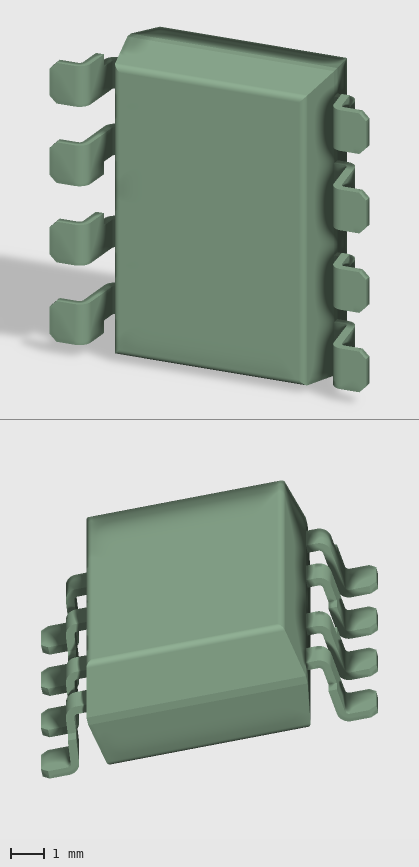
import cadquery as cq
import math


overall_width = 10.1
overall_height = 3.6
body_length = 9.76
body_width = 6.61

lead_thickness = 0.25
lead_width = 1.3
neck_width = 0.9
shoulder_height = 1.13
foot_flat = 0.8
foot_chamfer = 0.21
bend_inner_radius = 0.12
leg_angle = 6.0
lead_pitch = 2.55
leads_per_row = 4

standoff = 0.1
band_top = 1.98
band_height = lead_thickness
upper_draft = 12.0
lower_draft = 9.0
edge_radius = 0.2

band_bottom = band_top - band_height
bend_outer_radius = bend_inner_radius + lead_thickness
tip_x = -overall_width / 2
body_side_x = -body_width / 2


def body_rectangle(y):
    """Full body outline in the plane at height y, with the plane normal along +Y."""
    plane = cq.Plane(origin=(0, y, 0), xDir=(1, 0, 0), normal=(0, 1, 0))
    return cq.Workplane(plane).rect(body_width, body_length)


def make_body():
    """Straight middle band with a tapered block on each side, end faces rounded."""
    band = body_rectangle(band_bottom).extrude(band_height)
    upper = body_rectangle(band_top).extrude(overall_height - band_top, taper=upper_draft)
    lower = body_rectangle(band_bottom).extrude(standoff - band_bottom, taper=lower_draft)
    upper = upper.faces(">Y").edges().fillet(edge_radius)
    lower = lower.faces("<Y").edges().fillet(edge_radius)
    return band.union(upper).union(lower)


def arc_point(center, radius, degrees):
    """Point on a circle, in the XY plane."""
    angle = math.radians(degrees)
    return (center[0] + radius * math.cos(angle), center[1] + radius * math.sin(angle))


def lead_strip():
    """Gull-wing strip of the -X row at full lead width, centred on Z = 0."""
    lean = math.radians(leg_angle)
    rise = band_top - 2 * bend_outer_radius
    radius_sum = bend_inner_radius + bend_outer_radius
    leg_length = (rise + radius_sum * math.sin(lean)) / math.cos(lean)
    run = leg_length * math.sin(lean) + radius_sum * math.cos(lean)
    foot_bend = (tip_x + foot_flat, bend_outer_radius)
    neck_bend = (foot_bend[0] + run, foot_bend[1] + rise)

    foot_angles = (-90, -(90 + leg_angle) / 2, -leg_angle)
    neck_angles = (180 - leg_angle, 135 - leg_angle / 2, 90)
    foot_outer = [arc_point(foot_bend, bend_outer_radius, a) for a in foot_angles]
    foot_inner = [arc_point(foot_bend, bend_inner_radius, a) for a in foot_angles]
    neck_outer = [arc_point(neck_bend, bend_outer_radius, a) for a in neck_angles]
    neck_inner = [arc_point(neck_bend, bend_inner_radius, a) for a in neck_angles]

    return (
        cq.Workplane("XY")
        .moveTo(tip_x, 0)
        .lineTo(*foot_outer[0])
        .threePointArc(foot_outer[1], foot_outer[2])
        .lineTo(*neck_inner[0])
        .threePointArc(neck_inner[1], neck_inner[2])
        .lineTo(body_side_x, band_bottom)
        .lineTo(body_side_x, band_top)
        .lineTo(*neck_outer[2])
        .threePointArc(neck_outer[1], neck_outer[0])
        .lineTo(*foot_inner[2])
        .threePointArc(foot_inner[1], foot_inner[0])
        .lineTo(tip_x, lead_thickness)
        .close()
        .extrude(lead_width / 2, both=True)
    )


def make_lead():
    """Lead of the -X row, its neck narrowed on the +Z side and its foot corners chamfered."""
    strip = lead_strip().faces("<X").edges("|Y").chamfer(foot_chamfer)
    notch = cq.Workplane("XY").box(
        body_side_x - tip_x,
        band_top - shoulder_height,
        lead_width - neck_width,
        centered=False,
    )
    notch = notch.translate((tip_x, shoulder_height, neck_width - lead_width / 2))
    return strip.cut(notch)


def make_leads():
    """Both lead rows; along a row every second lead is turned over in Z."""
    lead = make_lead()
    flipped_lead = lead.mirror("XY")
    leads = []
    for index in range(leads_per_row):
        z = (index - (leads_per_row - 1) / 2) * lead_pitch
        is_flipped = index % 2 == 0
        row_lead = (flipped_lead if is_flipped else lead).translate((0, 0, z))
        leads.append(row_lead.val())
        leads.append(row_lead.mirror("YZ").val())
    return leads


body = make_body()
leads = make_leads()

result = cq.Compound.makeCompound([body.val(), *leads])